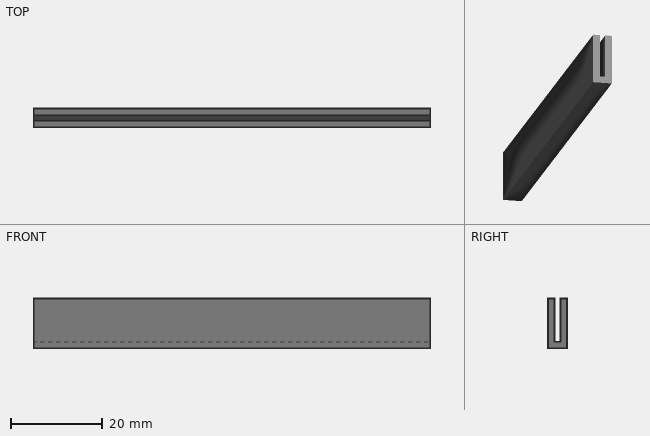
import cadquery as cq

length = 87.0
width = 4.2
height = 11.0
slot_width = 1.2
floor_thickness = 1.5

slot_depth = height - floor_thickness

body = cq.Workplane("XY").box(length, width, height, centered=(True, True, False))

slot = (
    cq.Workplane("XY")
    .workplane(offset=floor_thickness)
    .box(length, slot_width, slot_depth, centered=(True, True, False))
)

result = body.cut(slot)